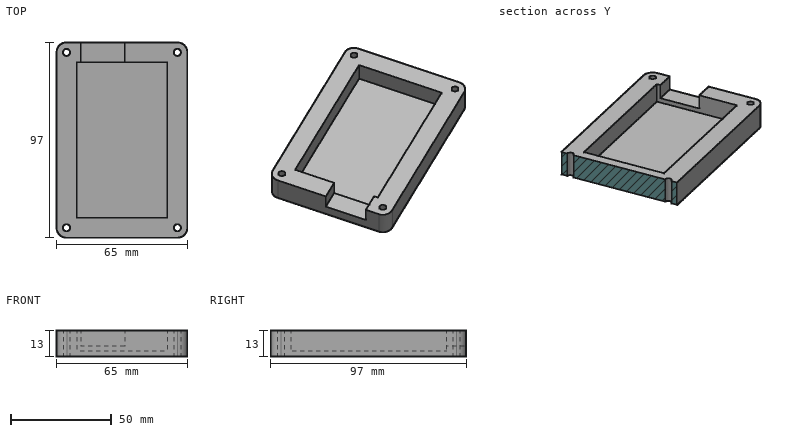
import cadquery as cq

width = 65.0
length = 97.0
height = 13.0
corner_radius = 5.0

wall = 10.0
floor_thickness = 3.0

notch_left_offset = 12.0
notch_width = 21.8
notch_depth = 7.5

hole_diameter = 3.4


def make_block():
    """Solid block with rounded vertical edges."""
    block = cq.Workplane("XY").box(width, length, height, centered=(True, True, False))
    return block.edges("|Z").fillet(corner_radius)


def make_pocket():
    """Cutter for the rectangular pocket."""
    return (
        cq.Workplane("XY")
        .workplane(offset=floor_thickness)
        .rect(width - 2 * wall, length - 2 * wall)
        .extrude(height - floor_thickness)
    )


def make_notch():
    """Cutter for the notch that joins the pocket to the +Y side."""
    notch_left = -width / 2 + notch_left_offset
    wall_inner_face = length / 2 - wall
    return (
        cq.Workplane("XY")
        .box(notch_width, wall, notch_depth, centered=False)
        .translate((notch_left, wall_inner_face, height - notch_depth))
    )


def make_screw_holes():
    """Cutter for the four through holes at the corners."""
    return (
        cq.Workplane("XY")
        .rect(width - 2 * corner_radius, length - 2 * corner_radius, forConstruction=True)
        .vertices()
        .circle(hole_diameter / 2)
        .extrude(height)
    )


result = make_block().cut(make_pocket()).cut(make_notch()).cut(make_screw_holes())